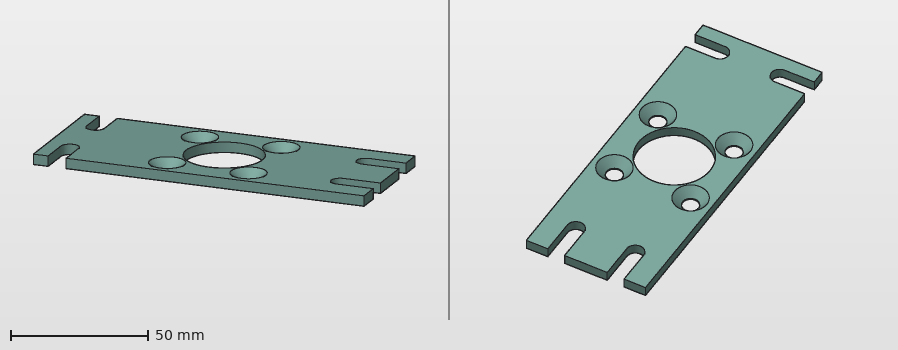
import cadquery as cq

length = 130.0
width = 50.0
thickness = 4.0

bore_diameter = 30.0
screw_spacing = 32.0
screw_diameter = 6.6
countersink_diameter = 13.6
countersink_angle = 90.0

slot_width = 7.0
side_slot_depth = 16.0
side_slot_from_end = 9.4
end_slot_depth = 18.0
end_slot_spacing = 25.0


def open_slot(edge_x, edge_y, depth, inward_angle):
    """Cutter running inward from an edge point, its round end reaching the given depth."""
    straight = depth - slot_width / 2
    return (
        cq.Workplane("XY")
        .moveTo(0, -slot_width / 2)
        .lineTo(straight, -slot_width / 2)
        .threePointArc((depth, 0), (straight, slot_width / 2))
        .lineTo(0, slot_width / 2)
        .close()
        .extrude(thickness)
        .rotate((0, 0, 0), (0, 0, 1), inward_angle)
        .translate((edge_x, edge_y, 0))
    )


plate = cq.Workplane("XY").box(length, width, thickness, centered=(True, True, False))
plate = plate.faces(">Z").workplane().hole(bore_diameter)

plate = (
    plate.faces(">Z")
    .workplane()
    .rect(screw_spacing, screw_spacing, forConstruction=True)
    .vertices()
    .cskHole(screw_diameter, countersink_diameter, countersink_angle)
)

side_slot_x = -length / 2 + side_slot_from_end
for side in (-1, 1):
    plate = plate.cut(open_slot(side_slot_x, side * width / 2, side_slot_depth, -side * 90))
    plate = plate.cut(open_slot(length / 2, side * end_slot_spacing / 2, end_slot_depth, 180))

result = plate